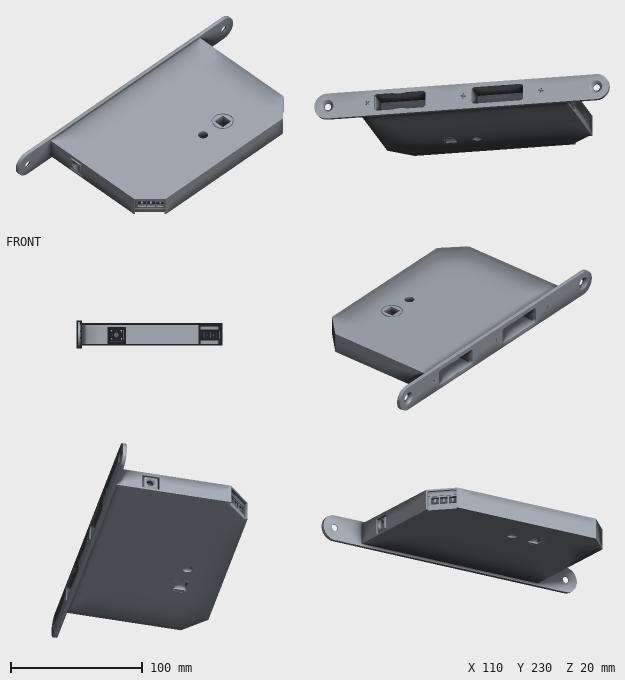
import cadquery as cq


PLATE_LENGTH = 230.0
PLATE_WIDTH = 20.0
PLATE_THICKNESS = 3.0
MOUNT_HOLE_OFFSET = 104.9
MOUNT_HOLE_DIAMETER = 5.0
MOUNT_SINK_DIAMETER = 10.0
SINK_ANGLE = 90.0

CASE_BACK_X = 110.0
CASE_MAX_Y = 79.5
CASE_MIN_Y = -80.5
CASE_HEIGHT = 16.0
CORNER_CUT = 17.2
CORNER_ANGLE = 45.0

OPENING_LENGTH = 40.2
OPENING_WIDTH = 13.0
OPENING_RADIUS = 2.3
LATCH_OPENING_Y = 48.3
BOLT_OPENING_Y = -27.8
POCKET_DEPTH = 18.5
LATCH_POCKET_INSET = 0.7
BULGE_LENGTH = 11.5
BULGE_HEIGHT = 0.7

SCREWS = [(73.4, 45.0), (-1.2, 5.0), (-61.9, 15.0)]
HEAD_DIAMETER = 8.0
SHANK_DIAMETER = 4.0
SCREW_LENGTH = 12.2
CROSS_SPAN = 4.1
CROSS_SLOT = 1.0
CROSS_DEPTH = 1.5

FOLLOWER_X = 80.0
FOLLOWER_Y = 27.4
FOLLOWER_DIAMETER = 15.0
FOLLOWER_CLEARANCE = 0.12
FOLLOWER_RING_DIAMETER = 17.0
FOLLOWER_RING_DEPTH = 0.7
FOLLOWER_SQUARE = 9.0
ROUND_HOLE_Y = 6.2
ROUND_HOLE_DIAMETER = 7.5

BLOCK_X = 30.1
BLOCK_Z = -0.7
BLOCK_RECESS_LENGTH = 13.0
BLOCK_RECESS_HEIGHT = 11.7
BLOCK_RECESS_DEPTH = 7.0
BLOCK_GAP = 0.7
BLOCK_TAPER_DEPTH = 1.4
BLOCK_FACE_LENGTH = 9.7
BLOCK_FACE_HEIGHT = 8.3
BLOCK_FACE_SHIFT = 0.35
CONE_MOUTH_DIAMETER = 7.5
SOCKET_BORE_DIAMETER = 5.0
CONE_DEPTH = 1.4
SOCKET_DEPTH = 4.5

TERMINAL_START = 1.0
TERMINAL_END = 23.5
TERMINAL_DEPTH = 2.0
TERMINAL_TOP_WALL = 1.4
CELL_COUNT = 3
CELL_PITCH = 7.0
CELL_WIDTH = 6.0
CELL_HEIGHT = 5.5
CELL_DEPTH = 3.5
GROOVE_HEIGHT = 7.4
GROOVE_DEPTH = 0.7
CELL_Z = -0.5
LAST_CELL_END = 23.0
PIN_WIDTH = 1.4
PIN_HEIGHT = 2.8

CASE_BOTTOM_Z = -CASE_HEIGHT / 2
CORNER_START_X = CASE_BACK_X - CORNER_CUT
SHANK_RADIUS = SHANK_DIAMETER / 2
HEAD_RADIUS = HEAD_DIAMETER / 2


def box_between(x_range, y_range, z_range):
    """Box filling the given (low, high) ranges."""
    size = [high - low for low, high in (x_range, y_range, z_range)]
    corner = (x_range[0], y_range[0], z_range[0])
    return cq.Workplane("XY").box(*size, centered=False).translate(corner)


def opening_cutter(center_y):
    """Rounded rectangle through the plate."""
    return (
        cq.Workplane("YZ").center(center_y, 0).rect(OPENING_LENGTH, OPENING_WIDTH)
        .extrude(PLATE_THICKNESS).edges("|X").fillet(OPENING_RADIUS)
    )


def opening_bulge(side):
    """Shallow arc-shaped swelling into the latch opening, on its +Z (1) or -Z (-1) edge."""
    edge_z = side * OPENING_WIDTH / 2
    return (
        cq.Workplane("YZ").moveTo(LATCH_OPENING_Y - BULGE_LENGTH / 2, edge_z)
        .threePointArc(
            (LATCH_OPENING_Y, edge_z - side * BULGE_HEIGHT),
            (LATCH_OPENING_Y + BULGE_LENGTH / 2, edge_z),
        )
        .close().extrude(PLATE_THICKNESS)
    )


def screw_envelope(center_y):
    """Countersunk head through the plate and a plain shank into the case."""
    return (
        cq.Workplane("XY")
        .polyline([
            (0, 0),
            (0, HEAD_RADIUS),
            (PLATE_THICKNESS, SHANK_RADIUS),
            (SCREW_LENGTH, SHANK_RADIUS),
            (SCREW_LENGTH, 0),
        ])
        .close().revolve(360, (0, 0, 0), (1, 0, 0)).translate((0, center_y, 0))
    )


def make_screw(center_y, turn):
    cross = (
        cq.Workplane("YZ").rect(CROSS_SPAN, CROSS_SLOT).extrude(CROSS_DEPTH)
        .union(cq.Workplane("YZ").rect(CROSS_SLOT, CROSS_SPAN).extrude(CROSS_DEPTH))
        .rotate((0, 0, 0), (1, 0, 0), turn).translate((0, center_y, 0))
    )
    return screw_envelope(center_y).cut(cross)


def make_plate():
    plate = cq.Workplane("YZ").slot2D(PLATE_LENGTH, PLATE_WIDTH).extrude(PLATE_THICKNESS)
    plate = (
        plate.faces("<X").workplane(origin=(0, 0, 0))
        .pushPoints([(-MOUNT_HOLE_OFFSET, 0), (MOUNT_HOLE_OFFSET, 0)])
        .cskHole(MOUNT_HOLE_DIAMETER, MOUNT_SINK_DIAMETER, SINK_ANGLE)
    )
    latch_cutter = opening_cutter(LATCH_OPENING_Y)
    for side in (1, -1):
        latch_cutter = latch_cutter.cut(opening_bulge(side))
    plate = plate.cut(latch_cutter).cut(opening_cutter(BOLT_OPENING_Y))
    for center_y, _ in SCREWS:
        plate = plate.cut(screw_envelope(center_y))
    return plate


def case_blank():
    return (
        cq.Workplane("XY").workplane(offset=CASE_BOTTOM_Z)
        .polyline([
            (PLATE_THICKNESS, CASE_MIN_Y),
            (CORNER_START_X, CASE_MIN_Y),
            (CASE_BACK_X, CASE_MIN_Y + CORNER_CUT),
            (CASE_BACK_X, CASE_MAX_Y - CORNER_CUT),
            (CORNER_START_X, CASE_MAX_Y),
            (PLATE_THICKNESS, CASE_MAX_Y),
        ])
        .close().extrude(CASE_HEIGHT)
    )


def bolt_pocket(center_y, inset):
    """Square-cornered pocket behind an opening, its +Y end moved in by inset."""
    return box_between(
        (PLATE_THICKNESS, PLATE_THICKNESS + POCKET_DEPTH),
        (center_y - OPENING_LENGTH / 2, center_y + OPENING_LENGTH / 2 - inset),
        (-OPENING_WIDTH / 2, OPENING_WIDTH / 2),
    )


def corner_box(along_range, depth_range, z_range):
    """Box sunk into the cut corner, placed by distance along the sloping face and depth below it."""
    return (
        box_between(along_range, depth_range, z_range)
        .rotate((0, 0, 0), (0, 0, 1), CORNER_ANGLE).translate((CORNER_START_X, CASE_MIN_Y, 0))
    )


def terminal_cutter():
    """Recess open to the case bottom, with a groove and a row of cells that each keep a standing pin."""
    cutter = corner_box(
        (TERMINAL_START, TERMINAL_END),
        (0, TERMINAL_DEPTH),
        (CASE_BOTTOM_Z, CASE_HEIGHT / 2 - TERMINAL_TOP_WALL),
    )
    groove_floor = TERMINAL_DEPTH + GROOVE_DEPTH
    groove = corner_box(
        (TERMINAL_START, TERMINAL_END),
        (TERMINAL_DEPTH, groove_floor),
        (CELL_Z - GROOVE_HEIGHT / 2, CELL_Z + GROOVE_HEIGHT / 2),
    )
    cutter = cutter.union(groove)
    cell_depths = (groove_floor, groove_floor + CELL_DEPTH)
    for index in range(CELL_COUNT):
        cell_end = LAST_CELL_END - index * CELL_PITCH
        middle = cell_end - CELL_WIDTH / 2
        cell = corner_box(
            (cell_end - CELL_WIDTH, cell_end),
            cell_depths,
            (CELL_Z - CELL_HEIGHT / 2, CELL_Z + CELL_HEIGHT / 2),
        )
        pin = corner_box(
            (middle - PIN_WIDTH / 2, middle + PIN_WIDTH / 2),
            cell_depths,
            (CELL_Z - PIN_HEIGHT / 2, CELL_Z + PIN_HEIGHT / 2),
        )
        cutter = cutter.union(cell.cut(pin))
    return cutter


def make_case():
    case = case_blank()
    case = case.cut(bolt_pocket(LATCH_OPENING_Y, LATCH_POCKET_INSET))
    case = case.cut(bolt_pocket(BOLT_OPENING_Y, 0))
    for center_y, _ in SCREWS:
        case = case.cut(screw_envelope(center_y))
    for center_y, diameter in (
        (FOLLOWER_Y, FOLLOWER_DIAMETER + 2 * FOLLOWER_CLEARANCE),
        (ROUND_HOLE_Y, ROUND_HOLE_DIAMETER),
    ):
        hole = cq.Workplane("XY").center(FOLLOWER_X, center_y).circle(diameter / 2)
        case = case.cut(hole.extrude(CASE_HEIGHT / 2, both=True))
    ring = (
        cq.Workplane("XY", origin=(FOLLOWER_X, FOLLOWER_Y, CASE_HEIGHT / 2))
        .circle(FOLLOWER_RING_DIAMETER / 2).extrude(-FOLLOWER_RING_DEPTH)
    )
    block_recess = box_between(
        (BLOCK_X - BLOCK_RECESS_LENGTH / 2, BLOCK_X + BLOCK_RECESS_LENGTH / 2),
        (CASE_MIN_Y, CASE_MIN_Y + BLOCK_RECESS_DEPTH),
        (BLOCK_Z - BLOCK_RECESS_HEIGHT / 2, BLOCK_Z + BLOCK_RECESS_HEIGHT / 2),
    )
    return case.cut(ring).cut(block_recess).cut(terminal_cutter())


def make_follower():
    return (
        cq.Workplane("XY").center(FOLLOWER_X, FOLLOWER_Y)
        .circle(FOLLOWER_DIAMETER / 2).rect(FOLLOWER_SQUARE, FOLLOWER_SQUARE)
        .extrude(CASE_HEIGHT / 2, both=True)
    )


def make_socket_block():
    """Block on the recess floor with a tapered front and a round socket with a conical mouth."""
    length = BLOCK_RECESS_LENGTH - 2 * BLOCK_GAP
    height = BLOCK_RECESS_HEIGHT - 2 * BLOCK_GAP
    floor_y = CASE_MIN_Y + BLOCK_RECESS_DEPTH
    body_length = BLOCK_RECESS_DEPTH - BLOCK_TAPER_DEPTH
    face_x = BLOCK_X - BLOCK_FACE_SHIFT
    face_z = BLOCK_Z + BLOCK_FACE_SHIFT
    body = (
        cq.Workplane("XZ", origin=(BLOCK_X, floor_y, BLOCK_Z)).rect(length, height)
        .extrude(body_length)
    )
    taper = (
        cq.Workplane("XZ", origin=(BLOCK_X, floor_y - body_length, BLOCK_Z)).rect(length, height)
        .workplane(offset=BLOCK_TAPER_DEPTH).center(-BLOCK_FACE_SHIFT, BLOCK_FACE_SHIFT)
        .rect(BLOCK_FACE_LENGTH, BLOCK_FACE_HEIGHT).loft(ruled=True)
    )
    socket = (
        cq.Workplane("XY")
        .polyline([
            (0, 0),
            (CONE_MOUTH_DIAMETER / 2, 0),
            (SOCKET_BORE_DIAMETER / 2, CONE_DEPTH),
            (SOCKET_BORE_DIAMETER / 2, SOCKET_DEPTH),
            (0, SOCKET_DEPTH),
        ])
        .close().revolve(360, (0, 0, 0), (0, 1, 0)).translate((face_x, CASE_MIN_Y, face_z))
    )
    return body.union(taper).cut(socket)


plate = make_plate()
case = make_case()
follower = make_follower()
socket_block = make_socket_block()
screws = [make_screw(center_y, turn) for center_y, turn in SCREWS]

result = cq.Compound.makeCompound([
    plate.val(),
    case.val(),
    follower.val(),
    socket_block.val(),
    *[screw.val() for screw in screws],
])